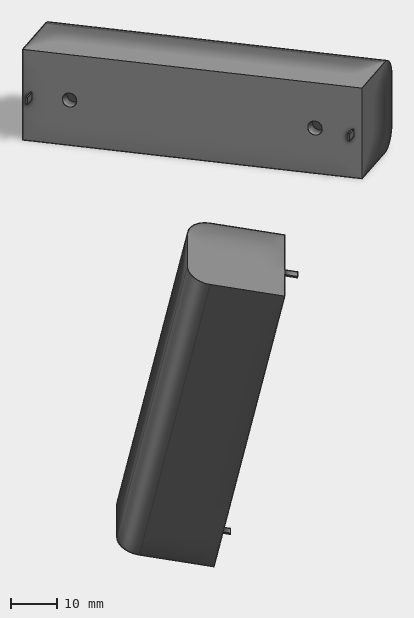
import cadquery as cq

length = 76.95
body_depth = 21.5
height = 21.0
back_radius = 5.0

pin_spacing = 72.95
pin_length = 3.2
pin_thickness = 0.4
pin_width = 1.6

hole_spacing = 55.65
hole_diameter = 3.2
hole_depth = 3.2


def make_body():
    """Block centred on X and Z, with its front face at Y = 0."""
    block = cq.Workplane("XY").box(length, body_depth, height, centered=(True, False, True))
    return block.edges("|X and >Y").fillet(back_radius)


def front_plane():
    """Sketch plane on the front face, with its normal pointing out along -Y."""
    return cq.Workplane("XZ")


def mirrored_pair(spacing):
    """Two points, one on each side of the middle of the front face."""
    return [(-spacing / 2, 0), (spacing / 2, 0)]


holes = front_plane().pushPoints(mirrored_pair(hole_spacing)).circle(hole_diameter / 2).extrude(-hole_depth)
pins = front_plane().pushPoints(mirrored_pair(pin_spacing)).rect(pin_thickness, pin_width).extrude(pin_length)

result = make_body().cut(holes).union(pins)